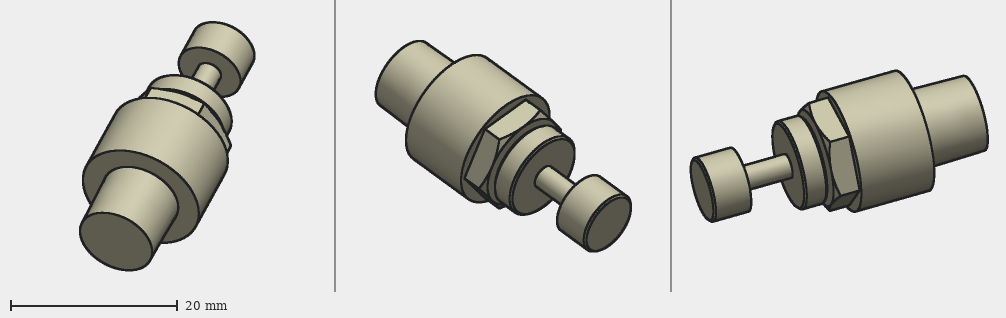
import cadquery as cq
import math

stub_length = 8.0
stub_end_diameter = 9.35
stub_root_diameter = 9.7

body_diameter = 15.0
body_length = 9.4

hex_sides = 6
hex_across_flats = 12.0
hex_length = 3.0
hex_chamfer_angle = 30.0

collar_diameter = 11.0
collar_length = 3.0
collar_gap = 0.5

rod_diameter = 3.0

knob_diameter = 8.0
knob_length = 4.8
edge_chamfer = 0.25

overall_length = 35.0

body_start = stub_length
hex_start = body_start + body_length
hex_end = hex_start + hex_length
collar_start = hex_end + collar_gap
knob_start = overall_length - knob_length


def cylinder(diameter, start, length):
    """Cylinder on the Y axis growing toward +Y from the given station."""
    plane = cq.Workplane("XZ", origin=(0, start, 0))
    return plane.circle(diameter / 2).extrude(-length)


def revolved(profile):
    """Solid of revolution about Y from (radius, station) points."""
    return cq.Workplane("XY").polyline(profile).close().revolve(360, (0, 0, 0), (0, 1, 0))


def make_stub():
    return revolved([
        (0, 0),
        (stub_end_diameter / 2, 0),
        (stub_root_diameter / 2, stub_length),
        (0, stub_length),
    ])


def make_hexagon():
    """Hexagon with corners on the X axis, its corners trimmed by a cone at the +Y face."""
    across_corners = hex_across_flats / math.cos(math.pi / hex_sides)
    corner_radius = across_corners / 2
    flat_radius = hex_across_flats / 2
    chamfer_depth = (corner_radius - flat_radius) * math.tan(math.radians(hex_chamfer_angle))
    base = cq.Workplane("XZ", origin=(0, hex_start, 0))
    prism = base.polygon(hex_sides, across_corners).extrude(-hex_length)
    envelope = revolved([
        (0, hex_start),
        (corner_radius, hex_start),
        (corner_radius, hex_end - chamfer_depth),
        (flat_radius, hex_end),
        (0, hex_end),
    ])
    return prism.intersect(envelope)


def make_collar():
    collar = cylinder(collar_diameter, collar_start, collar_length)
    return collar.faces("<Y or >Y").edges().chamfer(edge_chamfer)


def make_knob():
    knob = cylinder(knob_diameter, knob_start, knob_length)
    return knob.faces(">Y").edges().chamfer(edge_chamfer)


body = cylinder(body_diameter, body_start, body_length)
rod = cylinder(rod_diameter, hex_end, knob_start - hex_end)

result = (
    body.union(make_stub())
    .union(make_hexagon())
    .union(rod)
    .union(make_collar())
    .union(make_knob())
)